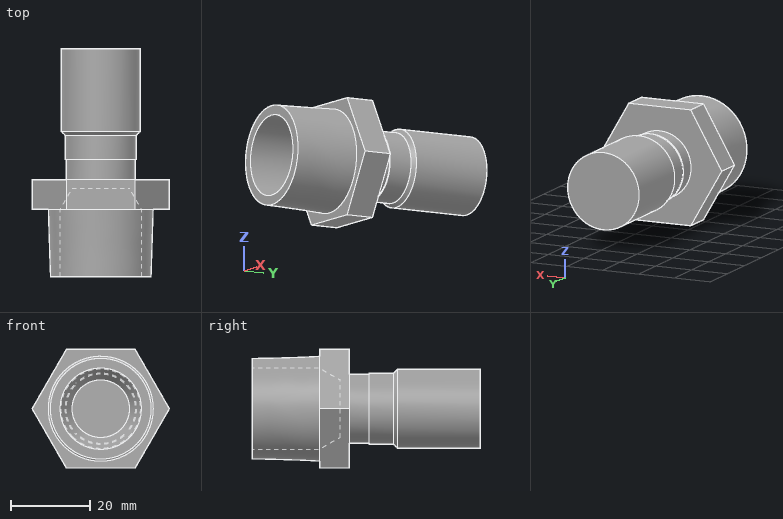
import cadquery as cq
import math

spigot_length = 17.0
hex_length = 7.5
neck_length = 5.0
collar_length = 6.15
shoulder_length = 1.0
tube_length = 20.85

spigot_tip_diameter = 25.41
spigot_taper = 1 / 16
hex_across_flats = 30.0
neck_diameter = 17.5
collar_diameter = 18.0
tube_diameter = 20.0

bore_diameter = 20.5
bore_depth = 17.0
bore_floor_diameter = 14.5
bore_cone_half_angle = 30.0

total_length = (
    spigot_length + hex_length + neck_length + collar_length + shoulder_length + tube_length
)
tube_end = total_length / 2
spigot_tip = -total_length / 2
hex_start = spigot_tip + spigot_length
hex_end = hex_start + hex_length
neck_end = hex_end + neck_length
collar_end = neck_end + collar_length
shoulder_end = collar_end + shoulder_length


def revolve_about_y(points):
    """Revolve a closed (radius, y) outline around the Y axis."""
    return cq.Workplane("XY").polyline(points).close().revolve(360, (0, 0, 0), (0, 1, 0))


def make_spigot():
    """Solid cone frustum that widens from the tip to the hexagon."""
    tip_radius = spigot_tip_diameter / 2
    root_radius = tip_radius + spigot_taper * spigot_length / 2
    return revolve_about_y(
        [(0, spigot_tip), (tip_radius, spigot_tip), (root_radius, hex_start), (0, hex_start)]
    )


def make_hex():
    """Hexagon with flats facing +Z and -Z and corners on the X axis."""
    across_corners = hex_across_flats / math.cos(math.radians(30))
    hex_plane = cq.Workplane("XZ", origin=(0, hex_start, 0))
    return hex_plane.polygon(6, across_corners).extrude(-hex_length)


def make_stem():
    """Neck, collar, conical shoulder and tube end."""
    return revolve_about_y(
        [
            (0, hex_end),
            (neck_diameter / 2, hex_end),
            (neck_diameter / 2, neck_end),
            (collar_diameter / 2, neck_end),
            (collar_diameter / 2, collar_end),
            (tube_diameter / 2, shoulder_end),
            (tube_diameter / 2, tube_end),
            (0, tube_end),
        ]
    )


def make_bore():
    """Straight bore that narrows in a cone to a flat floor."""
    bore_radius = bore_diameter / 2
    floor_radius = bore_floor_diameter / 2
    cone_start = spigot_tip + bore_depth
    cone_length = (bore_radius - floor_radius) / math.tan(math.radians(bore_cone_half_angle))
    floor = cone_start + cone_length
    return revolve_about_y(
        [
            (0, spigot_tip),
            (bore_radius, spigot_tip),
            (bore_radius, cone_start),
            (floor_radius, floor),
            (0, floor),
        ]
    )


result = make_spigot().union(make_hex()).union(make_stem()).cut(make_bore())